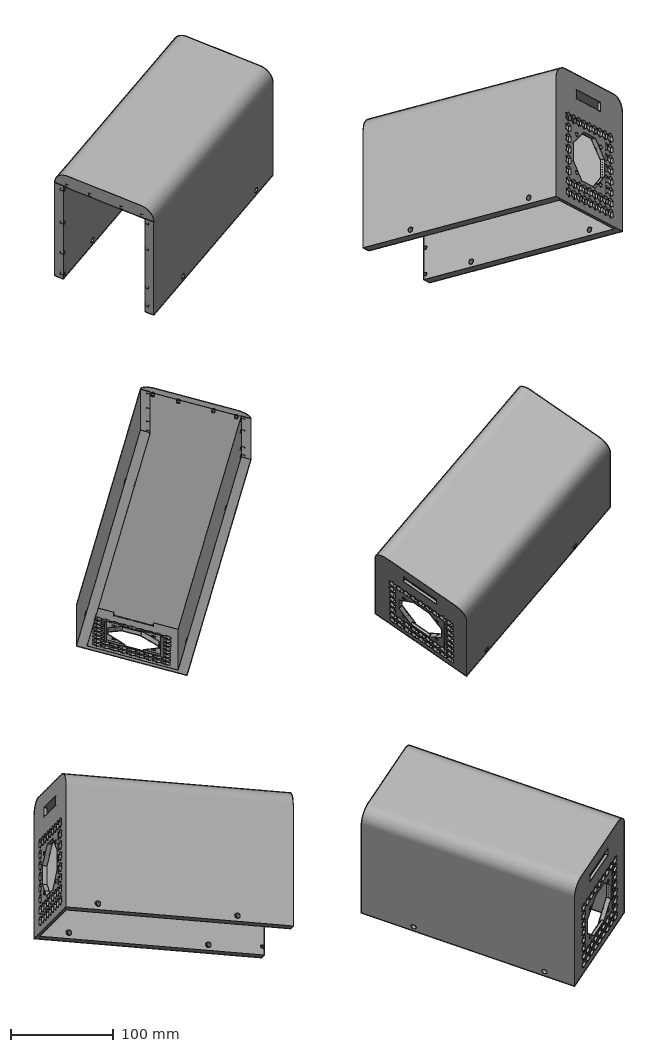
import cadquery as cq

LENGTH = 230.1
WIDTH = 111.5
HEIGHT = 139.0
WALL = 10.0
ROOF = 15.9
CORNER_RADIUS = 15.0
ROOF_SETBACK = 0.35

CEILING = HEIGHT - ROOF
INNER_HALF_WIDTH = WIDTH / 2 - WALL

PANEL = 3.0
PANEL_FRONT = LENGTH - PANEL
SLOT_WIDTH = 40.3
SLOT_HEIGHT = 9.5
SLOT_X = 1.2

HEX_CORNER_DIAMETER = 9.5
HEX_COLUMNS = 9
HEX_ROWS = 8
HEX_PITCH_X = 8.7
HEX_PITCH_Z = 11.3
HEX_TILT = 0.6
HEX_CENTRE = (-0.7, 51.5)
CLEAR_LEFT = -28.0
CLEAR_RIGHT = 30.8
CLEAR_BOTTOM = 29.0
CLEAR_TOP = 85.1

FAN_CENTRE = (0.7, 56.5)
FAN_WINDOW = 52.0
MOUNT_WIDTH = 54.5
MOUNT_HEIGHT = 56.5
LEFT_PAD_LEG_X = 18.6
LOWER_RIGHT_PAD_LEG_X = 17.5
UPPER_RIGHT_PAD_LEG_X = 21.5
PAD_LEG_Z = 20.3
PAD_RISE = 1.8
TOP_RAIL_RISE = 1.0
FAN_HOLE_SPACING = 40.0
FAN_HOLE_DIAMETER = 4.0

SCREW_DIAMETER = 3.5
SCREW_DEPTH = 3.7
SCREW_INSET = 2.0
LEFT_SCREW_Z = (5.5, 33.1, 73.5, 117.4)
RIGHT_SCREW_Z = (8.5, 32.5, 83.5, 118.0)
ROOF_SCREW_X = (-42.5, -16.8, 18.5, 41.5)

MOUNT_HOLE_DIAMETER = 5.3
MOUNT_HOLES = ((56.5, 5.8), (197.7, 6.2))


def block(x_range, y_range, z_range):
    """Box between the given limits."""
    (x0, x1), (y0, y1), (z0, z1) = x_range, y_range, z_range
    return cq.Workplane("XY").box(x1 - x0, y1 - y0, z1 - z0, centered=False).translate((x0, y0, z0))


def drill(diameter, depth, start, direction):
    """Cylinder that starts at a point and runs along a direction."""
    return cq.Workplane(
        cq.Solid.makeCylinder(diameter / 2, depth, cq.Vector(*start), cq.Vector(*direction))
    )


def make_shell():
    shell = block((-WIDTH / 2, WIDTH / 2), (0, LENGTH), (0, HEIGHT))
    shell = shell.edges("|Y and >Z").fillet(CORNER_RADIUS)
    inside = block((-INNER_HALF_WIDTH, INNER_HALF_WIDTH), (0, PANEL_FRONT), (0, CEILING))
    roof_step = block(
        (-WIDTH / 2, WIDTH / 2), (0, ROOF_SETBACK), (HEIGHT - CORNER_RADIUS, HEIGHT)
    )
    ceiling_step = block(
        (-INNER_HALF_WIDTH, INNER_HALF_WIDTH), (0, ROOF_SETBACK), (CEILING, HEIGHT)
    )
    return shell.cut(inside).cut(roof_step).cut(ceiling_step)


def make_slot():
    return block(
        (SLOT_X - SLOT_WIDTH / 2, SLOT_X + SLOT_WIDTH / 2),
        (PANEL_FRONT, LENGTH),
        (CEILING - SLOT_HEIGHT, CEILING),
    )


def make_vents():
    centre_x, centre_z = HEX_CENTRE
    vents = (
        cq.Workplane("XZ", origin=(centre_x, LENGTH, centre_z))
        .transformed(rotate=(0, 0, 90 - HEX_TILT))
        .rarray(HEX_PITCH_Z, HEX_PITCH_X, HEX_ROWS, HEX_COLUMNS)
        .polygon(6, HEX_CORNER_DIAMETER)
        .extrude(PANEL)
    )
    fan_clearance = block(
        (CLEAR_LEFT, CLEAR_RIGHT), (PANEL_FRONT, LENGTH), (CLEAR_BOTTOM, CLEAR_TOP)
    )
    return vents.cut(fan_clearance)


def make_fan_window():
    x, z = FAN_CENTRE
    half = FAN_WINDOW / 2
    return block((x - half, x + half), (PANEL_FRONT, LENGTH), (z - half, z + half))


def make_fan_mount():
    x, z = FAN_CENTRE
    pad_front = PANEL_FRONT - PAD_RISE
    half_width = MOUNT_WIDTH / 2
    half_height = MOUNT_HEIGHT / 2
    half_window = FAN_WINDOW / 2

    mount = block(
        (x - half_width, x + half_width),
        (PANEL_FRONT - TOP_RAIL_RISE, LENGTH),
        (z + half_window, z + half_height),
    )
    pad_legs = {
        -1: ((-1, LEFT_PAD_LEG_X), (1, LEFT_PAD_LEG_X)),
        1: ((-1, LOWER_RIGHT_PAD_LEG_X), (1, UPPER_RIGHT_PAD_LEG_X)),
    }
    for side, legs in pad_legs.items():
        rail_x = sorted((x + side * half_window, x + side * half_width))
        rail = block(rail_x, (pad_front, LENGTH), (z - half_height, z + half_height))
        mount = mount.union(rail)
        for level, leg_x in legs:
            corner_x = x + side * half_width
            corner_z = z + level * half_height
            pad = (
                cq.Workplane("XZ", origin=(0, LENGTH, 0))
                .moveTo(corner_x, corner_z)
                .lineTo(corner_x - side * leg_x, corner_z)
                .lineTo(corner_x, corner_z - level * PAD_LEG_Z)
                .close()
                .extrude(PANEL + PAD_RISE)
            )
            mount = mount.union(pad)

    for side in (-1, 1):
        for level in (-1, 1):
            hole_x = x + side * FAN_HOLE_SPACING / 2
            hole_z = z + level * FAN_HOLE_SPACING / 2
            hole = drill(FAN_HOLE_DIAMETER, PANEL + PAD_RISE, (hole_x, pad_front, hole_z), (0, 1, 0))
            mount = mount.cut(hole)
    return mount


def cut_screw_holes(body):
    for side, heights in ((-1, LEFT_SCREW_Z), (1, RIGHT_SCREW_Z)):
        for z in heights:
            start = (side * INNER_HALF_WIDTH, SCREW_INSET, z)
            body = body.cut(drill(SCREW_DIAMETER, SCREW_DEPTH, start, (side, 0, 0)))
    for x in ROOF_SCREW_X:
        start = (x, ROOF_SETBACK + SCREW_INSET, CEILING)
        body = body.cut(drill(SCREW_DIAMETER, SCREW_DEPTH, start, (0, 0, 1)))
    return body


def cut_mount_holes(body):
    for y, z in MOUNT_HOLES:
        body = body.cut(drill(MOUNT_HOLE_DIAMETER, WIDTH, (-WIDTH / 2, y, z), (1, 0, 0)))
    return body


result = make_shell().cut(make_slot()).cut(make_vents()).cut(make_fan_window())
result = result.union(make_fan_mount())
result = cut_screw_holes(result)
result = cut_mount_holes(result)